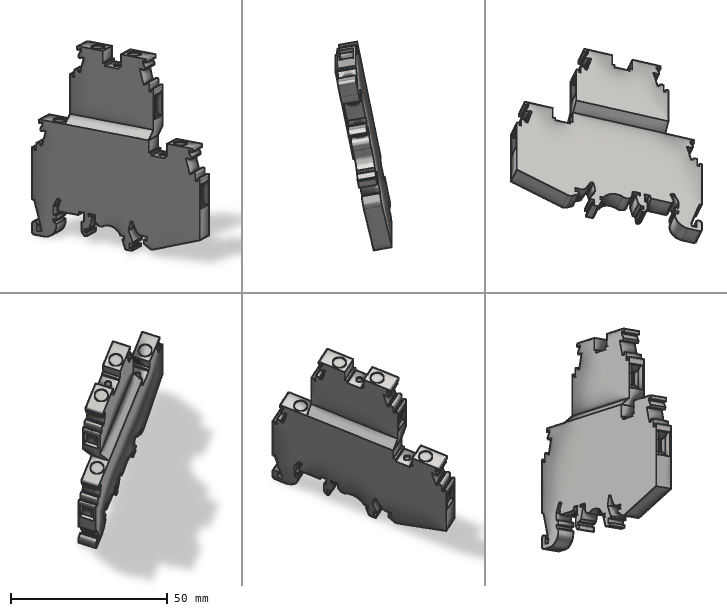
import cadquery as cq


TIER_THICKNESS = 5.95
UPPER_SHIFT = 3.1
LOWER_LENGTH = 62.5
LOWER_TOP = 39.4
UPPER_START = 12.35
UPPER_LENGTH = 31.1
UPPER_TOP = 65.4
LINK_RISE = 2.6

NOTCH_FROM_END = 12.15
NOTCH_WIDTH = 6.8
NOTCH_STEP_DEPTH = 4.1
NOTCH_DEPTH = 5.05
NOTCH_STEP = 0.85

SCREW_DIAMETER = 4.3
SCREW_DEPTH = 0.4
SCREW_FROM_END = 8.75
SCREW_Y = 2.75
TEST_DIAMETER = 2.1
TEST_DEPTH = 0.65
TEST_Y = 3.0
UPPER_TEST_OFFSET = 0.25

ENTRY_FRONT = 0.8
ENTRY_BACK = 5.3
ENTRY_TOP_DROP = 12.0
ENTRY_BOTTOM_DROP = 20.0
ENTRY_DEPTH = 3.3
ENTRY_ROOF_TAPER = 2.0
ENTRY_WALL_TAPER = 0.9
WIRE_FRONT = 1.1
WIRE_BACK = 4.25
WIRE_DEPTH = 1.0

OVERCUT = 0.65


def plate(outline, thickness):
    """Extrude a closed XZ outline from Y = 0 towards +Y."""
    return outline.close().extrude(-thickness)


def block(x_range, y_range, z_range):
    """Box between the given limits."""
    lows = [limits[0] for limits in (x_range, y_range, z_range)]
    sizes = [limits[1] - limits[0] for limits in (x_range, y_range, z_range)]
    return cq.Workplane("XY").box(*sizes, centered=False).translate(tuple(lows))


def shoulder_cutter():
    """Waste outside the left end above the wire entry; tier corner at X = 0, Z = 0."""
    outline = (
        cq.Workplane("XZ")
        .moveTo(0, -10.2)
        .threePointArc((0.45, -9.75), (0.9, -10.2))
        .lineTo(0.9, -10.7)
        .lineTo(1.6, -10.7)
        .lineTo(1.6, -8.65)
        .threePointArc((2.3, -7.9), (2.95, -8.45))
        .lineTo(3.35, -8.75)
        .lineTo(3.7, -8.7)
        .lineTo(5.1, -3.7)
        .lineTo(4.3, -3.6)
        .threePointArc((3.5, -3.85), (3.1, -3.15))
        .lineTo(4.0, -1.5)
        .lineTo(4.0, -0.85)
        .lineTo(3.45, -0.85)
        .threePointArc((3.1, -1.3), (2.6, -0.9))
        .lineTo(2.6, -0.4)
        .threePointArc((2.75, -0.1), (3.0, 0))
        .lineTo(3.0, OVERCUT)
        .lineTo(-OVERCUT, OVERCUT)
        .lineTo(-OVERCUT, -10.2)
    )
    return plate(outline, TIER_THICKNESS)


def notch_cutter():
    """Stepped notch; upper left corner at X = 0, Z = 0."""
    across = (0, TIER_THICKNESS)
    mouth = block((0, NOTCH_WIDTH), across, (-NOTCH_STEP_DEPTH, OVERCUT))
    floor = block((NOTCH_STEP, NOTCH_WIDTH - NOTCH_STEP), across, (-NOTCH_DEPTH, 0))
    return mouth.union(floor)


def entry_cutter():
    """Funnel into the left end with a wire hole behind it; tier corner at X = 0, Z = 0."""
    roof_start = ENTRY_DEPTH - ENTRY_ROOF_TAPER
    side_profile = (
        cq.Workplane("XZ")
        .moveTo(-OVERCUT, -ENTRY_BOTTOM_DROP)
        .lineTo(roof_start, -ENTRY_BOTTOM_DROP)
        .lineTo(ENTRY_DEPTH, -ENTRY_BOTTOM_DROP + ENTRY_ROOF_TAPER)
        .lineTo(ENTRY_DEPTH, -ENTRY_TOP_DROP - ENTRY_ROOF_TAPER)
        .lineTo(roof_start, -ENTRY_TOP_DROP)
        .lineTo(-OVERCUT, -ENTRY_TOP_DROP)
    )
    plan_profile = (
        cq.Workplane("XY")
        .moveTo(-OVERCUT, ENTRY_FRONT)
        .lineTo(ENTRY_DEPTH, ENTRY_FRONT)
        .lineTo(ENTRY_DEPTH, ENTRY_BACK - ENTRY_WALL_TAPER)
        .lineTo(ENTRY_DEPTH - ENTRY_WALL_TAPER, ENTRY_BACK)
        .lineTo(-OVERCUT, ENTRY_BACK)
        .close()
        .extrude(-ENTRY_BOTTOM_DROP)
    )
    wire_hole = block(
        (ENTRY_DEPTH, ENTRY_DEPTH + WIRE_DEPTH),
        (WIRE_FRONT, WIRE_BACK),
        (-ENTRY_BOTTOM_DROP + ENTRY_ROOF_TAPER, -ENTRY_TOP_DROP - ENTRY_ROOF_TAPER),
    )
    return plate(side_profile, TIER_THICKNESS).intersect(plan_profile).union(wire_hole)


def round_recess(x, y, z, diameter, depth):
    """Round recess sunk from height z."""
    return cq.Workplane("XY", origin=(x, y, z)).circle(diameter / 2).extrude(-depth)


def tier_cuts(body, length, test_offset):
    """Cut both ends, the notch and the round recesses; tier corner at X = 0, Z = 0."""
    for end_cutter in (shoulder_cutter(), entry_cutter()):
        body = body.cut(end_cutter)
        body = body.cut(end_cutter.mirror("YZ").translate((length, 0, 0)))
    notch_start = length - NOTCH_FROM_END - NOTCH_WIDTH
    body = body.cut(notch_cutter().translate((notch_start, 0, 0)))
    test_x = notch_start + NOTCH_WIDTH / 2 + test_offset
    body = body.cut(round_recess(test_x, TEST_Y, -NOTCH_DEPTH, TEST_DIAMETER, TEST_DEPTH))
    for x in (SCREW_FROM_END, length - SCREW_FROM_END):
        body = body.cut(round_recess(x, SCREW_Y, 0, SCREW_DIAMETER, SCREW_DEPTH))
    return body


def lower_plate():
    """Lower tier blank with the rail foot along its underside, left to right."""
    outline = (
        cq.Workplane("XZ")
        .moveTo(0, LOWER_TOP)
        .lineTo(0, 12.1)
        .lineTo(0.45, 11.7)
        .lineTo(0.85, 11.7)
        .lineTo(3.5, 2.6)
        .lineTo(3.5, 2.0)
        .threePointArc((3.4, 1.65), (3.0, 1.5))
        .lineTo(2.3, 1.5)
        .threePointArc((1.9, 1.65), (1.75, 2.0))
        .lineTo(1.75, 3.2)
        .lineTo(2.1, 3.5)
        .threePointArc((1.05, 4.6), (0, 3.5))
        .lineTo(0, 1.05)
        .threePointArc((0.3, 0.3), (1.05, 0))
        .lineTo(5.0, 0)
        .threePointArc((7.85, 1.45), (9.1, 5.05))
        .lineTo(8.2, 5.55)
        .lineTo(7.9, 6.55)
        .lineTo(9.1, 6.55)
        .lineTo(9.1, 7.9)
        .lineTo(8.2, 7.9)
        .lineTo(7.9, 8.75)
        .lineTo(7.9, 10.6)
        .lineTo(9.35, 13.55)
        .threePointArc((10.15, 13.7), (10.6, 13.1))
        .lineTo(9.7, 10.8)
        .lineTo(9.7, 10.1)
        .lineTo(10.3, 9.5)
        .lineTo(17.2, 9.5)
        .lineTo(17.7, 10.7)
        .lineTo(19.35, 10.7)
        .lineTo(19.35, 7.85)
        .lineTo(18.45, 7.3)
        .lineTo(18.45, 4.85)
        .threePointArc((18.85, 3.65), (19.75, 2.8))
        .lineTo(20.3, 2.8)
        .lineTo(20.55, 4.2)
        .lineTo(19.6, 4.2)
        .lineTo(19.6, 5.2)
        .lineTo(20.55, 5.2)
        .lineTo(21.5, 5.95)
        .lineTo(22.4, 9.4)
        .lineTo(22.2, 9.9)
        .lineTo(20.9, 9.9)
        .lineTo(20.9, 10.7)
        .lineTo(23.15, 10.7)
        .lineTo(23.55, 10.35)
        .lineTo(23.55, 9.0)
        .threePointArc((24.85, 7.25), (26.95, 7.5))
        .threePointArc((30.35, 7.65), (33.0, 5.3))
        .lineTo(34.35, 5.3)
        .lineTo(34.35, 4.2)
        .lineTo(33.7, 4.2)
        .lineTo(34.65, 1.25)
        .lineTo(35.05, 0.85)
        .lineTo(37.2, 0.85)
        .lineTo(37.2, 1.7)
        .lineTo(36.3, 1.7)
        .lineTo(36.3, 3.3)
        .lineTo(37.6, 3.3)
        .lineTo(37.7, 3.85)
        .lineTo(36.0, 7.6)
        .lineTo(36.7, 10.5)
        .threePointArc((37.15, 10.8), (37.6, 10.5))
        .lineTo(38.6, 8.5)
        .threePointArc((39.5, 7.2), (40.95, 6.6))
        .lineTo(42.8, 6.6)
        .lineTo(42.8, 5.3)
        .lineTo(41.65, 5.3)
        .lineTo(41.65, 4.2)
        .lineTo(43.9, 2.8)
        .threePointArc((44.6, 2.6), (45.4, 2.75))
        .lineTo(LOWER_LENGTH, 8.8)
        .lineTo(LOWER_LENGTH, LOWER_TOP)
    )
    return plate(outline, TIER_THICKNESS)


def upper_link():
    """Slanted plate that leads from the lower tier back to the upper one."""
    link = (
        cq.Workplane("YZ")
        .moveTo(0, LOWER_TOP)
        .lineTo(TIER_THICKNESS, LOWER_TOP)
        .lineTo(TIER_THICKNESS + UPPER_SHIFT, LOWER_TOP + LINK_RISE)
        .lineTo(UPPER_SHIFT, LOWER_TOP + LINK_RISE)
        .close()
        .extrude(UPPER_LENGTH)
    )
    return link.translate((UPPER_START, 0, 0))


def lower_tier():
    """Lower tier with the rail foot."""
    blank = lower_plate().translate((0, 0, -LOWER_TOP))
    return tier_cuts(blank, LOWER_LENGTH, 0).translate((0, 0, LOWER_TOP))


def upper_tier():
    """Upper tier from the link to the top."""
    height = UPPER_TOP - LOWER_TOP - LINK_RISE
    blank = block((0, UPPER_LENGTH), (0, TIER_THICKNESS), (-height, 0))
    return tier_cuts(blank, UPPER_LENGTH, UPPER_TEST_OFFSET).translate((UPPER_START, UPPER_SHIFT, UPPER_TOP))


result = lower_tier().union(upper_link()).union(upper_tier())